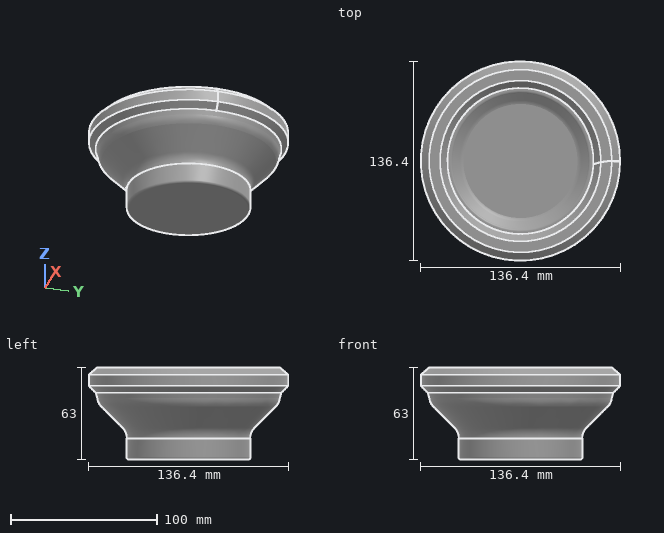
import cadquery as cq
import math


height = 63.0

ring_radius = 68.2
ring_chamfer_height = 4.9
ring_top_radius = 62.5
ring_mouth_radius = 55.0
ring_bore_radius = 49.9
ring_mouth_depth = 4.9
ring_band_bottom = 50.3
ring_seat = 45.7
ring_seat_radius = ring_radius - (ring_band_bottom - ring_seat)

slit_width = 0.3
slit_arc_radius = 39.1
slit_center_x = 62.7
slit_half_angle = 40.0

base_radius = 85.0 / 2
neck_radius = 84.5 / 2
base_height = 14.3
step_height = base_radius - neck_radius
base_edge_radius = 1.8
neck_round_bottom = 14.7
flare_bottom = 22.2
flare_bottom_radius = 45.7
flare_top = 36.4
flare_top_radius = 59.9
shoulder_bottom = 42.0
shoulder_radius = 62.5

rim_height = height - ring_mouth_depth
rim_inner_radius = 48.1
dish_edge_drop = 0.7
dish_depth = 5.2
dish_corner_rise = 1.0
dish_wall_top_radius = 46.5
dish_wall_top = rim_height - dish_edge_drop
dish_wall_bottom_radius = 41.2
dish_floor_radius = 39.0
dish_floor = rim_height - dish_depth
dish_wall_bottom = dish_floor + dish_corner_rise


def revolve(profile):
    """Turn a closed radius-height outline around the Z axis."""
    return profile.close().revolve(360, (0, 0), (0, 1))


def make_bowl():
    edge_offset = base_edge_radius * (1 - math.sqrt(0.5))
    profile = (
        cq.Workplane("XZ")
        .lineTo(base_radius - base_edge_radius, 0)
        .threePointArc((base_radius - edge_offset, edge_offset), (base_radius, base_edge_radius))
        .lineTo(base_radius, base_height)
        .lineTo(neck_radius, base_height + step_height)
        .lineTo(neck_radius, neck_round_bottom)
        .tangentArcPoint((flare_bottom_radius, flare_bottom), relative=False)
        .lineTo(flare_top_radius, flare_top)
        .tangentArcPoint((shoulder_radius, shoulder_bottom), relative=False)
        .lineTo(ring_seat_radius, ring_seat)
        .lineTo(ring_bore_radius, ring_seat)
        .lineTo(ring_bore_radius, rim_height)
        .lineTo(rim_inner_radius, rim_height)
        .tangentArcPoint((dish_wall_top_radius, dish_wall_top), relative=False)
        .lineTo(dish_wall_bottom_radius, dish_wall_bottom)
        .tangentArcPoint((dish_floor_radius, dish_floor), relative=False)
        .lineTo(0, dish_floor)
    )
    return revolve(profile)


def make_slit():
    def arc_point(radius, angle):
        turn = math.radians(angle)
        return (slit_center_x + radius * math.sin(turn), radius * math.cos(turn) - slit_arc_radius)

    inner = slit_arc_radius - slit_width / 2
    outer = slit_arc_radius + slit_width / 2
    return (
        cq.Workplane("XY")
        .moveTo(*arc_point(inner, -slit_half_angle))
        .threePointArc(arc_point(inner, 0), arc_point(inner, slit_half_angle))
        .lineTo(*arc_point(outer, slit_half_angle))
        .threePointArc(arc_point(outer, 0), arc_point(outer, -slit_half_angle))
        .close()
        .extrude(height)
    )


def make_ring():
    profile = (
        cq.Workplane("XZ")
        .moveTo(ring_bore_radius, ring_seat)
        .lineTo(ring_seat_radius, ring_seat)
        .lineTo(ring_radius, ring_band_bottom)
        .lineTo(ring_radius, height - ring_chamfer_height)
        .lineTo(ring_top_radius, height)
        .lineTo(ring_mouth_radius, height)
        .lineTo(ring_bore_radius, rim_height)
    )
    return revolve(profile).cut(make_slit())


bowl = make_bowl()
ring = make_ring()
result = cq.Compound.makeCompound([bowl.val(), ring.val()])